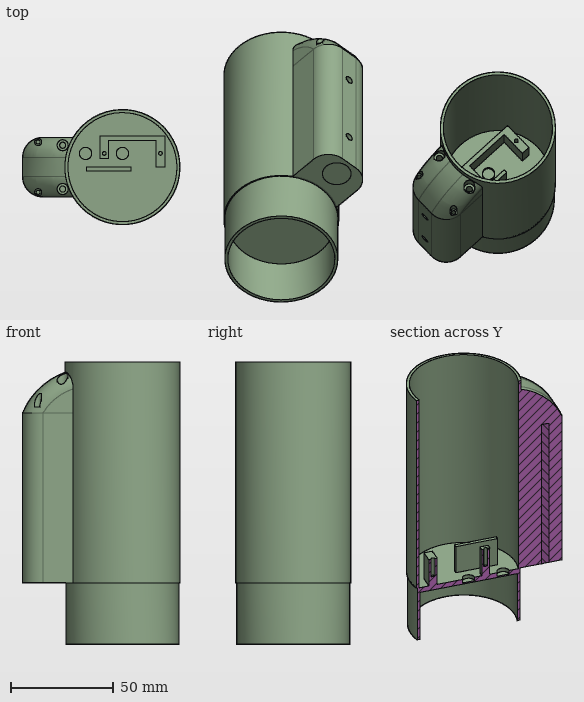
import cadquery as cq
import math

TOTAL_HEIGHT = 138.0
SLEEVE_DIAMETER = 56.3
SLEEVE_BORE = 53.3
SPIGOT_DIAMETER = 55.3
SPIGOT_BORE = 52.3
SPIGOT_HEIGHT = 30.0
FLOOR_THICKNESS = 3.0
FLOOR_TOP = SPIGOT_HEIGHT

TOTAL_LENGTH = 77.0
POD_FRONT = SLEEVE_DIAMETER / 2 - TOTAL_LENGTH
POD_WIDTH = 29.2
POD_CORNER = 10.0
POD_TOP = 113.0

DOME_AXIS_X = -15.8
DOME_AXIS_Z = 99.3
DOME_SWING = 75.0

DOME_SCREWS = [
    (-41.2, 12.3, 2.0, 3.5, 116.0),
    (-29.2, 10.7, 3.0, 5.4, 125.0),
]
DOME_SCREW_DEPTH = 10.0

PIN_DIAMETER = 14.0
PIN_COVER = 2.0
PIN_X = POD_FRONT + PIN_COVER + PIN_DIAMETER / 2
PIN_TOP = 110.0
ACCESS_DIAMETER = 4.0
ACCESS_HEIGHTS = [50.0, 93.0]

SERVO_LEFT = -6.7
SERVO_LENGTH = 23.1
SERVO_RIGHT = SERVO_LEFT + SERVO_LENGTH
SERVO_DEPTH = 13.0
MOUNT_HEIGHT = 15.0
LEG_WIDTH = 4.35
BACK_THICKNESS = 2.2
LEFT_LEG_FRONT = 4.3
SERVO_AXIS_Y = 6.7
SERVO_SCREW_DIAMETER = 1.8
SERVO_SCREW_DEPTH = 10.0
RIB_LEFT = -17.6
RIB_LENGTH = 21.8
RIB_THICKNESS = 1.8

RECESS_DIAMETER = 6.0
RECESS_DEPTH = 2.0
RECESS_SPACING = 18.0


def cylinder(diameter, bottom, top, x=0.0, y=0.0):
    """Vertical cylinder between two heights."""
    return cq.Workplane("XY", origin=(x, y, bottom)).circle(diameter / 2).extrude(top - bottom)


def block(left, right, front, back, bottom, top):
    """Box given by its six sides."""
    corner = cq.Workplane("XY", origin=(left, front, bottom))
    return corner.box(right - left, back - front, top - bottom, centered=False)


def make_tube():
    sleeve = cylinder(SLEEVE_DIAMETER, SPIGOT_HEIGHT, TOTAL_HEIGHT)
    return sleeve.union(cylinder(SPIGOT_DIAMETER, 0, SPIGOT_HEIGHT))


def pod_outline(height, back):
    """Outline with two rounded front corners, running back to a flat side at X = back."""
    half = POD_WIDTH / 2
    arc_inset = POD_CORNER * (1 - math.sqrt(0.5))
    corner_end = POD_FRONT + POD_CORNER
    return (
        cq.Workplane("XY", origin=(0, 0, height))
        .moveTo(back, -half)
        .lineTo(corner_end, -half)
        .threePointArc((POD_FRONT + arc_inset, arc_inset - half), (POD_FRONT, POD_CORNER - half))
        .lineTo(POD_FRONT, half - POD_CORNER)
        .threePointArc((POD_FRONT + arc_inset, half - arc_inset), (corner_end, half))
        .lineTo(back, half)
        .close()
    )


def make_dome():
    outline = pod_outline(POD_TOP, DOME_AXIS_X).wires().val()
    swing_start = cq.Vector(DOME_AXIS_X, 0, DOME_AXIS_Z)
    swing_end = cq.Vector(DOME_AXIS_X, 1, DOME_AXIS_Z)
    dome = cq.Solid.revolve(outline, [], DOME_SWING, swing_start, swing_end)
    kept = block(POD_FRONT, 0, -POD_WIDTH, POD_WIDTH, POD_TOP, TOTAL_HEIGHT)
    return cq.Workplane(obj=dome).intersect(kept)


def make_pod():
    return pod_outline(SPIGOT_HEIGHT, 0).extrude(POD_TOP - SPIGOT_HEIGHT).union(make_dome(), clean=False)


def cut_dome_screws(body):
    """Flat-seated counterbores sunk into the dome, each with a blind screw bore."""
    for x, offset, bore, counterbore, seat in DOME_SCREWS:
        for y in (-offset, offset):
            body = body.cut(cylinder(counterbore, seat, TOTAL_HEIGHT, x, y), clean=False)
            body = body.cut(cylinder(bore, seat - DOME_SCREW_DEPTH, seat, x, y), clean=False)
    return body


def cut_access_holes(body):
    for height in ACCESS_HEIGHTS:
        hole = cq.Workplane("YZ", origin=(POD_FRONT, 0, height)).circle(ACCESS_DIAMETER / 2)
        body = body.cut(hole.extrude(PIN_X - POD_FRONT), clean=False)
    return body


def make_servo_mount():
    """Bracket whose two legs take the servo screws, with the separate rib in front."""
    top = FLOOR_TOP + MOUNT_HEIGHT
    bracket_left = SERVO_LEFT - LEG_WIDTH
    bracket_right = SERVO_RIGHT + LEG_WIDTH
    bracket_back = SERVO_DEPTH + BACK_THICKNESS
    mount = block(bracket_left, bracket_right, SERVO_DEPTH, bracket_back, FLOOR_TOP, top)
    mount = mount.union(block(bracket_left, SERVO_LEFT, LEFT_LEG_FRONT, bracket_back, FLOOR_TOP, top))
    mount = mount.union(block(SERVO_RIGHT, bracket_right, 0, bracket_back, FLOOR_TOP, top))
    for x in (SERVO_LEFT - LEG_WIDTH / 2, SERVO_RIGHT + LEG_WIDTH / 2):
        mount = mount.cut(cylinder(SERVO_SCREW_DIAMETER, top - SERVO_SCREW_DEPTH, top, x, SERVO_AXIS_Y))
    rib = block(RIB_LEFT, RIB_LEFT + RIB_LENGTH, -RIB_THICKNESS, 0, FLOOR_TOP, top)
    return mount.union(rib)


def make_housing():
    body = make_tube().union(make_pod(), clean=False)
    body = body.cut(cylinder(SLEEVE_BORE, FLOOR_TOP, TOTAL_HEIGHT), clean=False)
    body = body.cut(cylinder(SPIGOT_BORE, 0, FLOOR_TOP - FLOOR_THICKNESS), clean=False)
    body = cut_dome_screws(body)
    body = cut_access_holes(body)
    body = body.cut(cylinder(PIN_DIAMETER, SPIGOT_HEIGHT, PIN_TOP, PIN_X), clean=False)
    body = body.union(make_servo_mount(), clean=False)
    for x in (0, -RECESS_SPACING):
        recess = cylinder(RECESS_DIAMETER, FLOOR_TOP - RECESS_DEPTH, FLOOR_TOP, x, SERVO_AXIS_Y)
        body = body.cut(recess, clean=False)
    return body


def make_pin():
    return cylinder(PIN_DIAMETER, SPIGOT_HEIGHT, PIN_TOP, PIN_X)


housing = make_housing()
pin = make_pin()
result = cq.Compound.makeCompound([housing.val(), pin.val()])